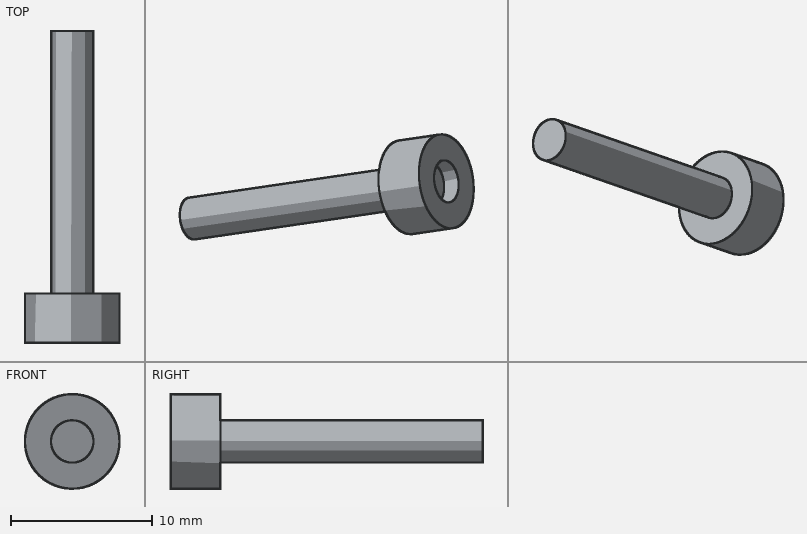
import cadquery as cq

total_length = 22.07
head_diameter = 6.7
head_length = 3.5
shank_diameter = 3.0
recess_diameter = 3.0
recess_depth = 1.25


def rod_along_y(diameter, start, length):
    """Solid cylinder on the Y axis, running from start towards +Y."""
    plane = cq.Workplane("XZ", origin=(0, start, 0))
    return plane.circle(diameter / 2).extrude(-length)


head = rod_along_y(head_diameter, 0, head_length)
shank = rod_along_y(shank_diameter, head_length, total_length - head_length)

recess = rod_along_y(recess_diameter, 0, recess_depth)

result = head.union(shank).cut(recess)